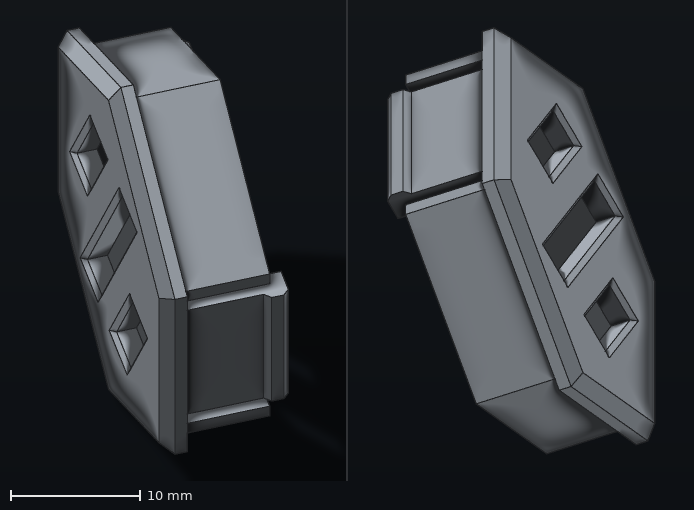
import cadquery as cq
import math

plate_flats = 30.0
plate_thickness = 2.0
plate_chamfer = 1.0

wall_flats = 27.5
wall_thickness = 2.0
wall_height = 7.0

clip_width = 11.6
clip_gap = 1.05
clip_height = 8.5
lip_overhang = 0.5
lip_land = 1.0

slot_lean = math.radians(30)
slot_width = 3.5
slot_pitch = 2 * slot_width
slot_half_height = 8.95
slot_chamfer = 0.4

wall_inner_flats = wall_flats - 2 * wall_thickness
wall_half = wall_flats / 2
clip_end = plate_thickness + clip_height


def hexagon(flats, y_start, length):
    """Hexagonal prism with vertical flats, running along +Y from y_start."""
    radius = flats / math.sqrt(3)
    angles = [math.radians(30 + 60 * i) for i in range(6)]
    corners = [(radius * math.cos(a), radius * math.sin(a)) for a in angles]
    plane = cq.Workplane("XZ", origin=(0, y_start, 0))
    return plane.polyline(corners).close().extrude(-length)


def make_plate():
    """Hexagonal plate with its front edges chamfered."""
    plate = hexagon(plate_flats, 0, plate_thickness)
    return plate.faces("<Y").chamfer(plate_chamfer)


def make_wall():
    """Hexagonal wall, open around each clip."""
    outside = hexagon(wall_flats, plate_thickness, wall_height)
    inside = hexagon(wall_inner_flats, plate_thickness, wall_height)
    opening_width = clip_width + 2 * clip_gap
    opening = cq.Workplane("XY", origin=(0, plate_thickness, 0))
    opening = opening.box(wall_flats, wall_height, opening_width, centered=(True, False, True))
    return outside.cut(inside).cut(opening)


def make_clip():
    """Clip on the +X side: a flat arm with a chamfered snap lip outside."""
    lip_x = wall_half + lip_overhang
    arm_inner_x = wall_half - wall_thickness
    land_end = clip_end - lip_overhang
    land_start = land_end - lip_land
    profile = [
        (arm_inner_x, plate_thickness),
        (wall_half, plate_thickness),
        (wall_half, land_start - lip_overhang),
        (lip_x, land_start),
        (lip_x, land_end),
        (wall_half, clip_end),
        (arm_inner_x, clip_end),
    ]
    return cq.Workplane("XY").polyline(profile).close().extrude(clip_width / 2, both=True)


def slot_outline(plane, shift, z_low, z_high, margin):
    """Parallelogram leaning toward +X, grown outward on every side by margin."""
    half_width = (slot_width / 2 + margin) / math.cos(slot_lean)
    low = z_low - margin
    high = z_high + margin
    x_low = shift + low * math.tan(slot_lean)
    x_high = shift + high * math.tan(slot_lean)
    corners = [
        (x_low - half_width, low),
        (x_low + half_width, low),
        (x_high + half_width, high),
        (x_high - half_width, high),
    ]
    return plane.polyline(corners).close()


def make_slot(shift, z_low, z_high):
    """Cutter for one slot, flared at the front face."""
    front = cq.Workplane("XZ")
    through = slot_outline(front, shift, z_low, z_high, 0).extrude(-plate_thickness)
    flare = slot_outline(front, shift, z_low, z_high, slot_chamfer)
    flare = flare.workplane(offset=-slot_chamfer)
    flare = slot_outline(flare, shift, z_low, z_high, 0).loft(ruled=True)
    return through.union(flare)


clip = make_clip()
slot_shift = slot_pitch / math.cos(slot_lean)

result = make_plate().union(make_wall())
result = result.union(clip).union(clip.mirror("YZ"))
result = result.cut(make_slot(0, -slot_half_height, slot_half_height))
result = result.cut(make_slot(-slot_shift, 0, slot_half_height))
result = result.cut(make_slot(slot_shift, -slot_half_height, 0))